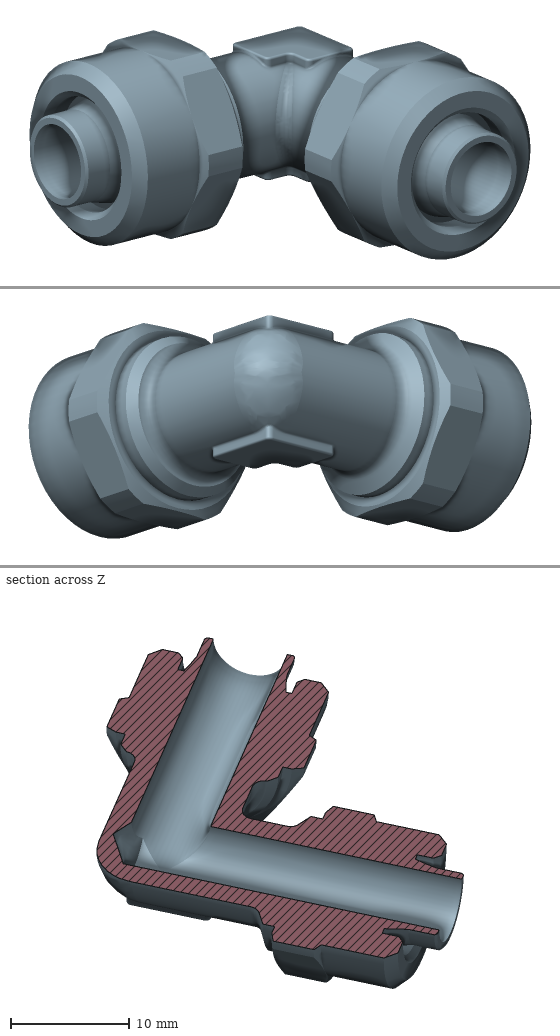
import cadquery as cq
import math

leg_end = 25.5
body_radius = 5.25
bore_radius = 3.25
outer_bend_radius = 4.0
inner_bend_radius = 1.0

pad_height = 5.5
pad_half_width = 2.5
pad_reach = 2 * pad_half_width
pad_corner_radius = 0.48
pad_edge_radius = 0.2
pad_foot_drop = 1.1

collar_radius = 7.0
neck_radius = 1.0
x_collar_start = 10.0
y_collar_cone_end = 11.03
y_collar_cone_angle = math.radians(60)

nut_start = 12.05
hex_end = 16.5
nut_end = 23.0
nut_width = 16.0
nut_radius = nut_width / 2
hex_corner_radius = 8.73
hex_start_radius = 7.77
hex_chamfer = 0.4
nut_end_chamfer = 0.95

recess_radius = 5.05
mouth_chamfer = 0.55
recess_depth = 2.0
tail_radius = 4.0
tail_base_radius = 4.52
tail_chamfer = 0.2

x_bore_end = 0.0
y_bore_end = -2.43
drill_half_angle = math.radians(60)

overlap = 0.35


def revolve_profile(profile):
    """Turn a (radius, distance) profile about the leg axis, which is +Z here."""
    return profile.close().revolve(360, (0, 0, 0), (0, 1, 0))


def along_x(shape):
    """Lay a part built along +Z onto the +X leg."""
    return shape.rotate((0, 0, 0), (0, 1, 0), 90)


def along_minus_y(shape):
    """Lay a part built along +Z onto the -Y leg."""
    return along_x(shape).rotate((0, 0, 0), (0, 0, 1), -90)


def elbow_body():
    """Mitred round legs with rounded bends and a pad on each side."""
    cylinder = cq.Workplane("XY").workplane(offset=-body_radius).circle(body_radius)
    cylinder = cylinder.extrude(body_radius + nut_start)
    reach = 2 * nut_start
    x_half = (
        cq.Workplane("XY").polyline([(-reach, reach), (reach, reach), (reach, -reach)])
        .close().extrude(reach, both=True)
    )
    y_half = x_half.rotate((0, 0, 0), (1, -1, 0), 180)
    mitred = along_x(cylinder).intersect(x_half).union(along_minus_y(cylinder).intersect(y_half))

    w = pad_half_width
    pad_outline = [(-w, w), (pad_reach, w), (pad_reach, -w), (w, -w), (w, -pad_reach), (-w, -pad_reach)]
    pads = (
        cq.Workplane("XY")
        .polyline(pad_outline)
        .close().extrude(pad_height, both=True)
        .edges("|Z").fillet(pad_corner_radius)
        .faces("|Z").edges().fillet(pad_edge_radius)
    )
    body = mitred.union(pads)

    r = body_radius + overlap
    outer_corner = cq.selectors.BoxSelector((-r, w, -r), (-w, r, r))
    inner_corner = cq.selectors.BoxSelector((w, -r, -r), (r, -w, r))
    for corner, radius in ((outer_corner, outer_bend_radius), (inner_corner, inner_bend_radius)):
        miter_edges = body.edges("%ELLIPSE").edges(corner)
        body = miter_edges.fillet(radius)

    lowest = body_radius - pad_foot_drop
    highest = (body_radius + pad_height - pad_edge_radius) / 2
    for low, high in ((lowest, highest), (-highest, -lowest)):
        foot = cq.selectors.BoxSelector((-r, -r, low), (r, r, high), boundingbox=True)
        body = body.edges(foot).fillet(pad_edge_radius)
    return body


def x_collar():
    """Collar with a full quarter-round neck and a 45 degree chamfer."""
    flare_radius = body_radius + neck_radius
    return revolve_profile(
        cq.Workplane("XZ").moveTo(0, x_collar_start - neck_radius)
        .lineTo(body_radius, x_collar_start - neck_radius)
        .radiusArc((flare_radius, x_collar_start), neck_radius)
        .lineTo(collar_radius, x_collar_start + collar_radius - flare_radius)
        .lineTo(collar_radius, nut_start + overlap)
        .lineTo(0, nut_start + overlap)
    )


def y_collar():
    """Collar whose neck round runs tangent into a flat cone."""
    flare_radius = body_radius + neck_radius * (1 - math.cos(y_collar_cone_angle))
    flare_end = y_collar_cone_end - (collar_radius - flare_radius) / math.tan(y_collar_cone_angle)
    flare_start = flare_end - neck_radius * math.sin(y_collar_cone_angle)
    return revolve_profile(
        cq.Workplane("XZ").moveTo(0, flare_start)
        .lineTo(body_radius, flare_start)
        .radiusArc((flare_radius, flare_end), neck_radius)
        .lineTo(collar_radius, y_collar_cone_end)
        .lineTo(collar_radius, nut_start + overlap)
        .lineTo(0, nut_start + overlap)
    )


def nut_and_tail():
    """Hexagon with turned corners, round sleeve, mouth recess and tail."""
    hexagon = (
        cq.Workplane("XY").workplane(offset=nut_start)
        .polygon(6, 2 * nut_radius, circumscribed=True).extrude(hex_end - nut_start)
    )
    hex_turning = revolve_profile(
        cq.Workplane("XZ").moveTo(0, nut_start)
        .lineTo(hex_start_radius, nut_start)
        .lineTo(hex_corner_radius, nut_start + hex_chamfer)
        .lineTo(hex_corner_radius, hex_end - hex_chamfer)
        .lineTo(nut_radius, hex_end)
        .lineTo(0, hex_end)
    )
    recess_floor = nut_end - recess_depth
    sleeve_and_tail = revolve_profile(
        cq.Workplane("XZ").moveTo(0, nut_start + overlap)
        .lineTo(nut_radius - overlap, nut_start + overlap)
        .lineTo(nut_radius - overlap, hex_end)
        .lineTo(nut_radius, hex_end)
        .lineTo(nut_radius, nut_end - nut_end_chamfer)
        .lineTo(nut_radius - nut_end_chamfer, nut_end)
        .lineTo(recess_radius + mouth_chamfer, nut_end)
        .lineTo(recess_radius, nut_end - mouth_chamfer)
        .lineTo(recess_radius, recess_floor)
        .lineTo(tail_base_radius, recess_floor)
        .lineTo(tail_radius, nut_end)
        .lineTo(tail_radius, leg_end - tail_chamfer)
        .lineTo(tail_radius - tail_chamfer, leg_end)
        .lineTo(0, leg_end)
    )
    return hexagon.intersect(hex_turning).union(sleeve_and_tail)


def bore(bore_end):
    """Drilled hole from the tail to bore_end, closed by a drill-point cone."""
    return revolve_profile(
        cq.Workplane("XZ").moveTo(0, bore_end - bore_radius / math.tan(drill_half_angle))
        .lineTo(bore_radius, bore_end)
        .lineTo(bore_radius, leg_end + overlap)
        .lineTo(0, leg_end + overlap)
    )


fitting = nut_and_tail()
result = (
    elbow_body()
    .union(along_x(x_collar())).union(along_minus_y(y_collar()))
    .union(along_x(fitting)).union(along_minus_y(fitting))
    .cut(along_x(bore(x_bore_end))).cut(along_minus_y(bore(y_bore_end)))
)